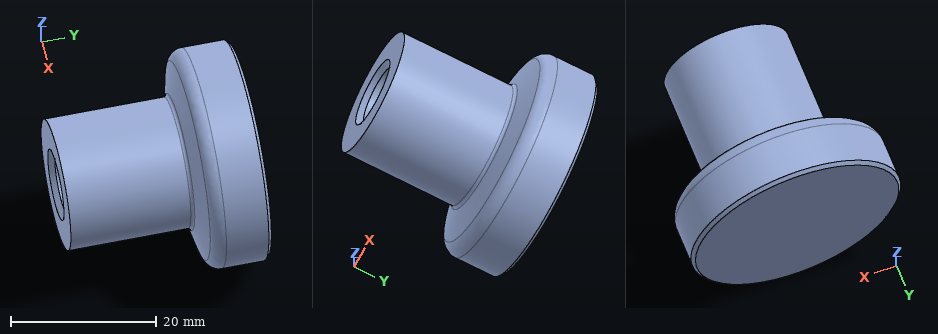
import cadquery as cq
import math


head_radius = 15.5
back_chamfer = 0.5
shoulder_fillet = 2.0
shoulder_angle = 15.0

stem_radius = 9.25
neck_fillet = 0.5
overall_length = 27.0
stem_length = 17.3

hole_radius = 4.2
hole_mouth_radius = 5.0
hole_depth = 20.0
drill_tip_angle = 118.0

stem_end = -overall_length / 2
head_back = overall_length / 2
shoulder_inner = stem_end + stem_length
shoulder_rise = (head_radius - stem_radius) * math.tan(math.radians(shoulder_angle))
shoulder_outer = shoulder_inner + shoulder_rise


def circle_edges_at(radius, place):
    """Select the circular edges of one radius at one place along Y."""
    tolerance = 0.003
    reach = radius + tolerance
    return cq.selectors.BoxSelector(
        (-reach, place - tolerance, -reach),
        (reach, place + tolerance, reach),
        boundingbox=True,
    )


def revolve_about_y(profile):
    """Turn a closed XY profile of (radius, place) points fully about the Y axis."""
    return cq.Workplane("XY").polyline(profile).close().revolve(360, (0, 0, 0), (0, 1, 0))


def make_body():
    body = revolve_about_y([
        (0, stem_end),
        (stem_radius, stem_end),
        (stem_radius, shoulder_inner),
        (head_radius, shoulder_outer),
        (head_radius, head_back),
        (0, head_back),
    ])
    body = body.edges(circle_edges_at(head_radius, shoulder_outer)).fillet(shoulder_fillet)
    body = body.edges(circle_edges_at(stem_radius, shoulder_inner)).fillet(neck_fillet)
    return body.edges(circle_edges_at(head_radius, head_back)).chamfer(back_chamfer)


def make_hole():
    mouth_chamfer = hole_mouth_radius - hole_radius
    wall_end = stem_end + hole_depth
    tip_length = hole_radius / math.tan(math.radians(drill_tip_angle / 2))
    return revolve_about_y([
        (0, stem_end),
        (hole_mouth_radius, stem_end),
        (hole_radius, stem_end + mouth_chamfer),
        (hole_radius, wall_end),
        (0, wall_end + tip_length),
    ])


result = make_body().cut(make_hole())